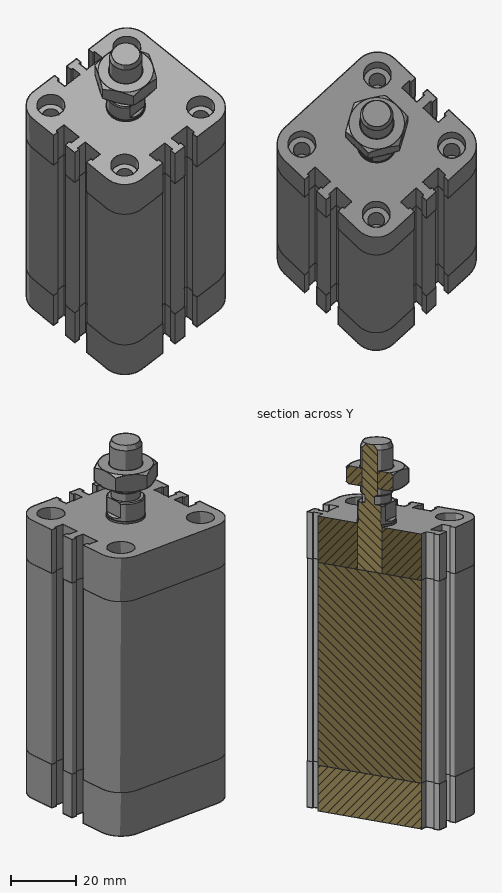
import cadquery as cq
import math


SIDE = 47.5
CORNER_RADIUS = 7.5
HALF_SIDE = SIDE / 2

SLOT_OFFSET = 4.7
SLOT_MOUTH_WIDTH = 5.2
SLOT_INNER_WIDTH = 6.6
SLOT_DEPTH = 5.2
SLOT_LIP = 1.9
MOUTH_ROUND = 0.4
SLOTTED_SIDES = (-90, 0, 90)

TOTAL_HEIGHT = 120
BODY_HEIGHT = 94.2
CAP_HEIGHT = 14.8
FRONT_CAP_BOTTOM = BODY_HEIGHT - CAP_HEIGHT

SCREW_OFFSET = HALF_SIDE - CORNER_RADIUS
SCREW_HOLE_DIAMETER = 5.0
SCREW_HEAD_DIAMETER = 8.5
SCREW_HEAD_DEPTH = 4.9

ROD_DIAMETER = 12
ROD_PROTRUSION = 0.7
HEAD_DIAMETER = 11.8
HEAD_TOP = 101.0
HEAD_CHAMFER = 0.4
FLAT_WIDTH = 10.0
FLAT_BOTTOM = 96
FLAT_RUNOUT = 0.6
NECK_DIAMETER = 9.0
THREAD_DIAMETER = 10.0
THREAD_BOTTOM = 104.0
THREAD_TIP_DIAMETER = 8.6
THREAD_TIP_HEIGHT = 1.5

NUT_WIDTH = 17.0
NUT_SIDES = 6
HALF_FACE_ANGLE = math.pi / NUT_SIDES
NUT_BOTTOM = 106.1
NUT_HEIGHT = 5.9
NUT_FACE_DIAMETER = 16.9
NUT_CHAMFER_ANGLE = 30
NUT_MOUTH_DIAMETER = 10.5


def t_slot(length):
    """T-shaped slot cutter centred on the -Y side, standing on Z = 0."""
    mouth = cq.Workplane("XY").box(SLOT_MOUTH_WIDTH, SLOT_DEPTH, length, centered=(True, False, False))
    inner = (
        cq.Workplane("XY")
        .box(SLOT_INNER_WIDTH, SLOT_DEPTH - SLOT_LIP, length, centered=(True, False, False))
        .translate((0, SLOT_LIP, 0))
    )
    return mouth.union(inner).translate((0, -HALF_SIDE, 0))


def slotted_block(bottom, height):
    """Rounded square block with a pair of T slots along three of its sides."""
    block = cq.Workplane("XY").rect(SIDE, SIDE).extrude(height).edges("|Z").fillet(CORNER_RADIUS)
    for turn in SLOTTED_SIDES:
        for offset in (-SLOT_OFFSET, SLOT_OFFSET):
            slot = t_slot(height).translate((offset, 0, 0))
            block = block.cut(slot.rotate((0, 0, 0), (0, 0, 1), turn))
    return block.translate((0, 0, bottom))


def is_mouth_edge(edge):
    """True for the upright edges where a slot mouth meets its side of the block."""
    across, outward = sorted((abs(edge.Center().x), abs(edge.Center().y)))
    on_side = math.isclose(outward, HALF_SIDE, abs_tol=0.01)
    return on_side and across < SLOT_OFFSET + SLOT_MOUTH_WIDTH


def make_rear_cap():
    return slotted_block(0, CAP_HEIGHT)


def make_barrel():
    length = BODY_HEIGHT - 2 * CAP_HEIGHT
    barrel = slotted_block(CAP_HEIGHT, length)
    return barrel.edges("|Z").filter(is_mouth_edge).fillet(MOUTH_ROUND)


def make_front_cap():
    cap = slotted_block(FRONT_CAP_BOTTOM, CAP_HEIGHT)
    cap = (
        cap.faces(">Z")
        .workplane(origin=(0, 0, BODY_HEIGHT))
        .rect(2 * SCREW_OFFSET, 2 * SCREW_OFFSET, forConstruction=True)
        .vertices()
        .cboreHole(SCREW_HOLE_DIAMETER, SCREW_HEAD_DIAMETER, SCREW_HEAD_DEPTH)
    )
    return cap.faces(">Z").workplane(origin=(0, 0, BODY_HEIGHT)).hole(ROD_DIAMETER)


def flat_cutter():
    """Cutter for the +X wrench flat; its floor slopes down and outwards to the rod surface."""
    flat = FLAT_WIDTH / 2
    outside = ROD_DIAMETER / 2
    profile = [
        (flat, FLAT_BOTTOM),
        (outside, FLAT_BOTTOM - FLAT_RUNOUT),
        (outside, HEAD_TOP),
        (flat, HEAD_TOP),
    ]
    return cq.Workplane("XZ").polyline(profile).close().extrude(outside, both=True)


def make_rod():
    rod_radius = ROD_DIAMETER / 2
    head_radius = HEAD_DIAMETER / 2
    neck_radius = NECK_DIAMETER / 2
    thread_radius = THREAD_DIAMETER / 2
    shoulder = BODY_HEIGHT + ROD_PROTRUSION
    profile = [
        (0, FRONT_CAP_BOTTOM),
        (rod_radius, FRONT_CAP_BOTTOM),
        (rod_radius, shoulder - (rod_radius - head_radius)),
        (head_radius, shoulder),
        (head_radius, HEAD_TOP - HEAD_CHAMFER),
        (head_radius - HEAD_CHAMFER, HEAD_TOP),
        (neck_radius, HEAD_TOP),
        (neck_radius, THREAD_BOTTOM - (thread_radius - neck_radius)),
        (thread_radius, THREAD_BOTTOM),
        (thread_radius, TOTAL_HEIGHT - THREAD_TIP_HEIGHT),
        (THREAD_TIP_DIAMETER / 2, TOTAL_HEIGHT),
        (0, TOTAL_HEIGHT),
    ]
    rod = cq.Workplane("XZ").polyline(profile).close().revolve(360, (0, 0, 0), (0, 1, 0))
    flat = flat_cutter()
    return rod.cut(flat).cut(flat.mirror("YZ"))


def make_nut():
    corner_radius = NUT_WIDTH / 2 / math.cos(HALF_FACE_ANGLE)
    face_radius = NUT_FACE_DIAMETER / 2
    chamfer_drop = (corner_radius - face_radius) * math.tan(math.radians(NUT_CHAMFER_ANGLE))
    hexagon = (
        cq.Workplane("XY", origin=(0, 0, NUT_BOTTOM))
        .polygon(NUT_SIDES, 2 * corner_radius)
        .extrude(NUT_HEIGHT)
        .rotate((0, 0, 0), (0, 0, 1), math.degrees(HALF_FACE_ANGLE))
    )
    bore_radius = THREAD_DIAMETER / 2
    mouth_radius = NUT_MOUTH_DIAMETER / 2
    sink = mouth_radius - bore_radius
    top = NUT_BOTTOM + NUT_HEIGHT
    profile = [
        (bore_radius, NUT_BOTTOM + sink),
        (mouth_radius, NUT_BOTTOM),
        (face_radius, NUT_BOTTOM),
        (corner_radius, NUT_BOTTOM + chamfer_drop),
        (corner_radius, top - chamfer_drop),
        (face_radius, top),
        (mouth_radius, top),
        (bore_radius, top - sink),
    ]
    envelope = cq.Workplane("XZ").polyline(profile).close().revolve(360, (0, 0, 0), (0, 1, 0))
    return hexagon.intersect(envelope)


rear_cap = make_rear_cap()
barrel = make_barrel()
front_cap = make_front_cap()
rod = make_rod()
nut = make_nut()

result = cq.Compound.makeCompound([
    rear_cap.val(),
    barrel.val(),
    front_cap.val(),
    rod.val(),
    nut.val(),
])